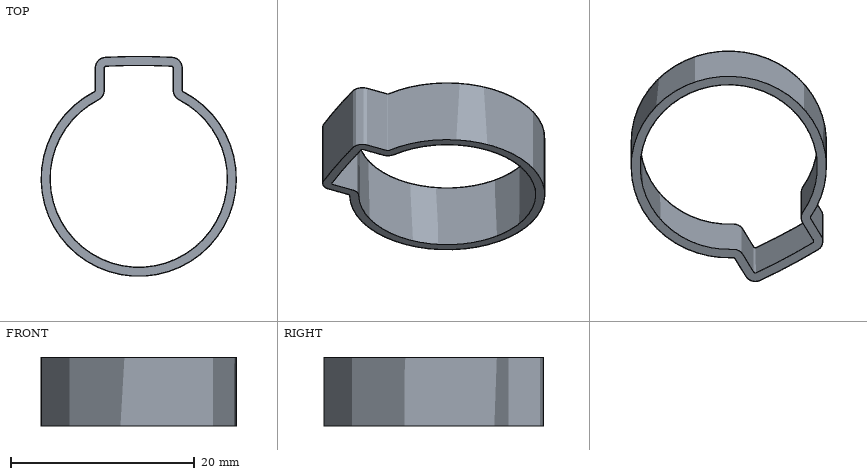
import cadquery as cq
import math

band_width = 7.5
wall = 1.0
ring_outer_radius = 10.65
ear_outer_width = 9.5
ear_top = 13.34
ear_roof_outer_radius = 70.0
bend_inner_radius = 0.2

bend_outer_radius = bend_inner_radius + wall
ear_half_width = ear_outer_width / 2

roof_center_y = ear_top - ear_roof_outer_radius

corner_x = ear_half_width - bend_outer_radius
roof_to_corner = ear_roof_outer_radius - bend_outer_radius
corner_y = roof_center_y + math.sqrt(roof_to_corner**2 - corner_x**2)
corner_end_angle = math.atan2(corner_y - roof_center_y, corner_x)

neck_x = ear_half_width + bend_inner_radius
neck_y = math.sqrt((ring_outer_radius + bend_inner_radius) ** 2 - neck_x**2)
neck_start_angle = math.pi + math.atan2(neck_y, neck_x)


def polar(center_x, center_y, radius, angle):
    """Point on a circle at the given angle from +X."""
    return (center_x + radius * math.cos(angle), center_y + radius * math.sin(angle))


def mirrored(point):
    """Point reflected to the other side of the ear's centre plane."""
    return (-point[0], point[1])


def enclosed_body(inset):
    """Solid enclosed by the band surface lying `inset` inside the outer face."""
    ring_radius = ring_outer_radius - inset
    neck_radius = bend_inner_radius + inset
    corner_radius = bend_outer_radius - inset

    neck_start = polar(neck_x, neck_y, neck_radius, neck_start_angle)
    neck_middle = polar(neck_x, neck_y, neck_radius, (neck_start_angle + math.pi) / 2)
    neck_end = polar(neck_x, neck_y, neck_radius, math.pi)
    corner_start = polar(corner_x, corner_y, corner_radius, 0)
    corner_middle = polar(corner_x, corner_y, corner_radius, corner_end_angle / 2)
    corner_end = polar(corner_x, corner_y, corner_radius, corner_end_angle)

    outline = (
        cq.Workplane("XY")
        .moveTo(*neck_start)
        .threePointArc(neck_middle, neck_end)
        .lineTo(*corner_start)
        .threePointArc(corner_middle, corner_end)
        .threePointArc((0, ear_top - inset), mirrored(corner_end))
        .threePointArc(mirrored(corner_middle), mirrored(corner_start))
        .lineTo(*mirrored(neck_end))
        .threePointArc(mirrored(neck_middle), mirrored(neck_start))
        .threePointArc((0, -ring_radius), neck_start)
        .close()
    )
    return outline.extrude(band_width / 2, both=True)


result = enclosed_body(0).cut(enclosed_body(wall))